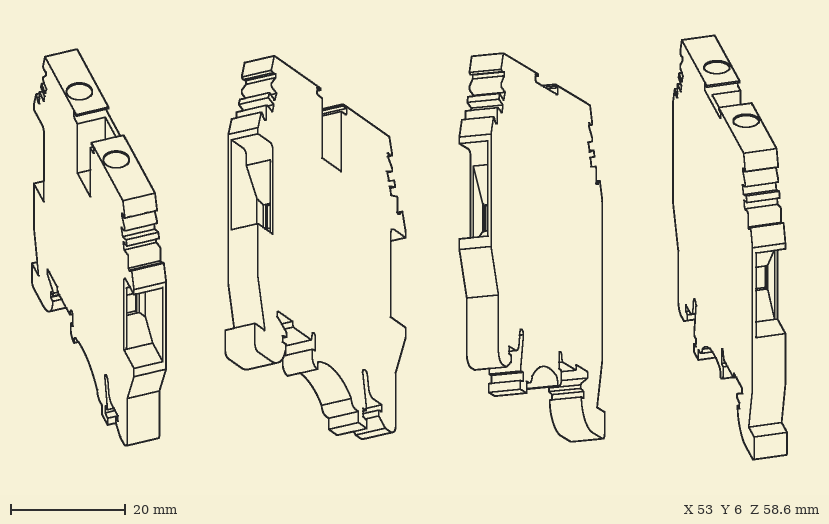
import cadquery as cq
import math


height = 58.65
thickness = 6.0
half_width = 26.0
front_y = -thickness / 2
back_y = thickness / 2
split_z = 23.45

top_half_width = 20.25
groove_half_width = 5.15
groove_mouth_half_width = 3.95
groove_floor_z = 57.0
groove_lip_z = 58.3
groove_corner_radius = 0.35

shaft_half_width = 3.35
shaft_floor_z = 45.6
shaft_back_wall = 0.8
shaft_center_y = -shaft_back_wall / 2
screw_hole_diameter = 2.3

recess_diameter = 4.5
recess_offset = 9.55
round_recess_depth = 0.3

entry_depth = 5.2
entry_bottom_z = 24.45
entry_top_z = 41.6
entry_corner_radius = 1.05
entry_back_wall = 0.65

funnel_depth = 4.6
funnel_mouth_top_z = 38.7
funnel_end_bottom_z = 28.05
funnel_end_top_z = 32.7
funnel_front_wall = 0.5
funnel_back_chamfer = 0.8
funnel_front_chamfer = 0.25
clamp_hole_depth = 0.6
clamp_hole_ledge = 0.45

left_foot_x = -27.05
left_foot_top_z = 5.05
left_foot_corner_radius = 1.05
left_slope_top_z = 14.2
right_leg_x = 22.5
right_slope_top_z = 22.5
right_slope_bottom_z = 14.6
rail_arch_radius = 10.75
rail_arch_x = -0.95
rail_arch_top_z = 6.9


def draw(start, path):
    """Closed XZ outline; each step is (end,) for a line or (middle, end) for an arc."""
    outline = cq.Workplane("XZ", origin=(0, back_y, 0)).moveTo(*start)
    for step in path:
        if len(step) == 1:
            outline = outline.lineTo(*step[0])
        else:
            outline = outline.threePointArc(*step)
    return outline.close().extrude(thickness)


def box(x_range, y_range, z_range):
    """Box spanning the given ranges."""
    sizes = [high - low for low, high in (x_range, y_range, z_range)]
    corner = (x_range[0], y_range[0], z_range[0])
    return cq.Workplane("XY").box(*sizes, centered=False).translate(corner)


def round_recess(diameter, x, top_z):
    """Shallow round recess sunk into a horizontal face."""
    plane = cq.Workplane("XY", origin=(x, shaft_center_y, top_z))
    return plane.circle(diameter / 2).extrude(-round_recess_depth)


def upper_half():
    """Right half of the housing above the split level, with its toothed flank."""
    path = [
        ((half_width, split_z),),
        ((half_width, 42.75),),
        ((24.8, 46.15),),
        ((24.2, 45.85),),
        ((24.1, 45.5),),
        ((23.7, 45.2), (23.1, 45.35)),
        ((23.1, 47.85),),
        ((23.0, 48.15), (22.7, 48.2)),
        ((20.9, 47.75),),
        ((20.4, 49.25),),
        ((22.35, 49.85),),
        ((21.95, 50.95),),
        ((20.1, 50.2),),
        ((19.4, 51.8),),
        ((20.95, 52.25),),
        ((21.3, 52.6), (21.2, 53.1)),
        ((19.75, 54.65),),
        ((19.75, 55.35),),
        ((20.75, 55.2),),
        ((21.3, 55.5),),
        ((top_half_width, height),),
        ((0, height),),
    ]
    return draw((0, split_z), path)


def arch_point(x):
    """Point of the rail arch at the given X."""
    rise = math.sqrt(rail_arch_radius**2 - (x - rail_arch_x) ** 2)
    return x, rail_arch_top_z - rail_arch_radius + rise


def lower_part():
    """Rail side of the housing below the split level."""
    corner = left_foot_corner_radius
    corner_middle = corner * (1 - math.sqrt(0.5))
    path = [
        ((-half_width, left_slope_top_z),),
        ((-23.5, left_foot_top_z),),
        ((left_foot_x, left_foot_top_z),),
        ((left_foot_x, corner),),
        ((left_foot_x + corner_middle, corner_middle), (left_foot_x + corner, 0)),
        ((-21.35, 0),),
        ((-17.65, 1.6), (-16.1, 5.2)),
        ((-17.25, 5.2),),
        ((-17.25, 6.45),),
        ((-15.85, 6.7),),
        ((-15.85, 7.35),),
        ((-16.2, 7.7),),
        ((-19.1, 9.3),),
        ((-19.1, 10.1),),
        ((-19.0, 10.3), (-18.75, 10.45)),
        ((-13.85, 10.45),),
        ((-13.6, 9.45),),
        ((-7.2, 9.45),),
        ((-6.9, 10.6),),
        ((-6.4, 11.1), (-5.8, 10.6)),
        ((-5.8, 7.9),),
        ((-6.85, 7.8),),
        ((-6.85, 6.1),),
        ((-6.45, 5.2), (-5.45, 4.7)),
        ((-5.05, 4.7),),
        ((-5.05, 5.45),),
        ((-4.75, 6.1), arch_point(-4.05)),
        (arch_point(1.75), arch_point(6.8)),
        ((7.4, 2.45), (8.45, 2.1)),
        ((9.3, 2.1),),
        ((9.3, 0),),
        ((12.3, 0),),
        ((12.3, 1.6),),
        ((11.0, 1.75),),
        ((11.0, 3.35),),
        ((12.1, 3.35),),
        ((12.1, 4.2),),
        ((10.85, 10.15),),
        ((11.7, 10.9), (12.5, 10.25)),
        ((12.9, 8.05),),
        ((13.3, 7.1), (14.25, 6.5)),
        ((17.55, 6.5),),
        ((17.55, 5.2),),
        ((16.5, 5.1),),
        ((16.5, 4.0),),
        ((18.75, 2.5),),
        ((20.5, 2.5),),
        ((21.95, 3.1), (right_leg_x, 4.5)),
        ((right_leg_x, right_slope_bottom_z),),
        ((half_width, right_slope_top_z),),
        ((half_width, split_z),),
    ]
    return draw((-half_width, split_z), path)


def marker_groove():
    """Right half of the undercut groove across the top face."""
    floor = box((0, groove_half_width), (front_y, back_y), (groove_floor_z, groove_lip_z))
    floor = floor.edges("|Y and >X and <Z").fillet(groove_corner_radius)
    mouth = box((0, groove_mouth_half_width), (front_y, back_y), (groove_lip_z, height))
    return floor.union(mouth)


def wire_entry():
    """Pocket at the right side, open to the front and to +X."""
    pocket = box(
        (half_width - entry_depth, half_width),
        (front_y, back_y - entry_back_wall),
        (entry_bottom_z, entry_top_z),
    )
    return pocket.edges("|Y and <X and >Z").fillet(entry_corner_radius)


def funnel():
    """Tapered recess leading inward from the wire entry, with a clamp hole at its end."""
    mouth_x = half_width - entry_depth
    end_x = mouth_x - funnel_depth
    wall_front = front_y + funnel_front_wall
    wall_back = back_y - entry_back_wall
    end_front = wall_front + funnel_front_chamfer
    end_back = wall_back - funnel_back_chamfer

    side_shape = draw(
        (mouth_x, entry_bottom_z),
        [
            ((mouth_x, funnel_mouth_top_z),),
            ((end_x, funnel_end_top_z),),
            ((end_x, funnel_end_bottom_z),),
        ],
    )
    plan_points = [
        (mouth_x, wall_front),
        (mouth_x, wall_back),
        (end_x + funnel_back_chamfer, wall_back),
        (end_x, end_back),
        (end_x, end_front),
        (end_x + funnel_front_chamfer, wall_front),
    ]
    plan_shape = cq.Workplane("XY").polyline(plan_points).close().extrude(height)
    clamp_hole = box(
        (end_x - clamp_hole_depth, end_x),
        (end_front, end_back - clamp_hole_ledge),
        (funnel_end_bottom_z, funnel_end_top_z),
    )
    return side_shape.intersect(plan_shape).union(clamp_hole)


def shaft():
    """Central rectangular shaft below the marker groove, with a screw hole in its floor."""
    shaft_box = box(
        (-shaft_half_width, shaft_half_width),
        (front_y, back_y - shaft_back_wall),
        (shaft_floor_z, groove_floor_z),
    )
    return shaft_box.union(round_recess(screw_hole_diameter, 0, shaft_floor_z))


right_half = (
    upper_half()
    .cut(marker_groove())
    .cut(wire_entry())
    .cut(funnel())
    .cut(round_recess(recess_diameter, recess_offset, height))
)
left_half = right_half.mirror("YZ")

result = right_half.union(left_half).union(lower_part()).cut(shaft()).clean()